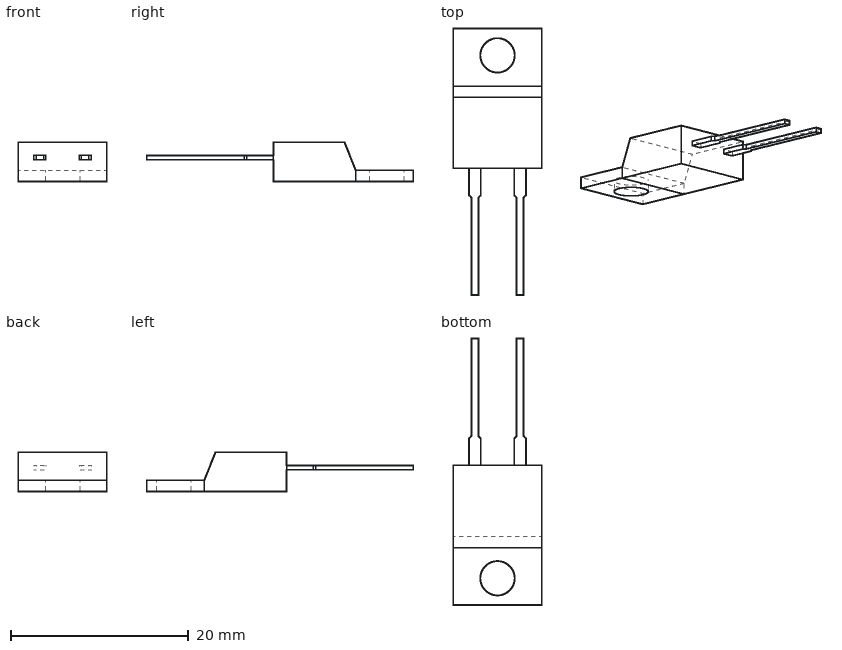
import cadquery as cq

total_length = 30.02
width = 9.97
height = 4.45
back_y = total_length / 2
front_y = -total_length / 2
bottom_z = -height / 2

tab_length = 6.48
tab_thickness = 1.3
hole_diameter = 3.85
hole_from_back = 3.03

housing_length = 9.28
slope_length = 1.25
housing_back_y = back_y - tab_length
housing_front_y = housing_back_y - housing_length

lead_spacing = 5.07
lead_thickness = 0.5
lead_bottom_z = bottom_z + 2.43
wide_width = 1.35
wide_length = 3.0
narrow_width = 0.8
taper_length = 0.27


def make_tab():
    """Flat tab behind the housing with a round mounting hole."""
    plate = cq.Workplane("XY").box(width, tab_length, tab_thickness, centered=(True, False, False))
    plate = plate.translate((0, housing_back_y, bottom_z))
    hole = (
        cq.Workplane("XY", origin=(0, back_y - hole_from_back, bottom_z))
        .circle(hole_diameter / 2)
        .extrude(tab_thickness)
    )
    return plate.cut(hole)


def make_housing():
    """Block whose back face slopes forward above the tab."""
    top_z = bottom_z + height
    return (
        cq.Workplane("YZ", origin=(-width / 2, 0, 0))
        .moveTo(housing_front_y, bottom_z)
        .lineTo(housing_back_y, bottom_z)
        .lineTo(housing_back_y, bottom_z + tab_thickness)
        .lineTo(housing_back_y - slope_length, top_z)
        .lineTo(housing_front_y, top_z)
        .close()
        .extrude(width)
    )


def make_lead(center_x):
    """Flat lead from the housing front, tapering from a wide root to a narrow end."""
    taper_start_y = housing_front_y - wide_length
    taper_end_y = taper_start_y - taper_length
    return (
        cq.Workplane("XY", origin=(center_x, 0, lead_bottom_z))
        .moveTo(-wide_width / 2, housing_front_y)
        .lineTo(-wide_width / 2, taper_start_y)
        .lineTo(-narrow_width / 2, taper_end_y)
        .lineTo(-narrow_width / 2, front_y)
        .lineTo(narrow_width / 2, front_y)
        .lineTo(narrow_width / 2, taper_end_y)
        .lineTo(wide_width / 2, taper_start_y)
        .lineTo(wide_width / 2, housing_front_y)
        .close()
        .extrude(lead_thickness)
    )


tab = make_tab()
housing = make_housing()
leads = [make_lead(side * lead_spacing / 2) for side in (-1, 1)]

result = cq.Compound.makeCompound([tab.val(), housing.val(), *[lead.val() for lead in leads]])